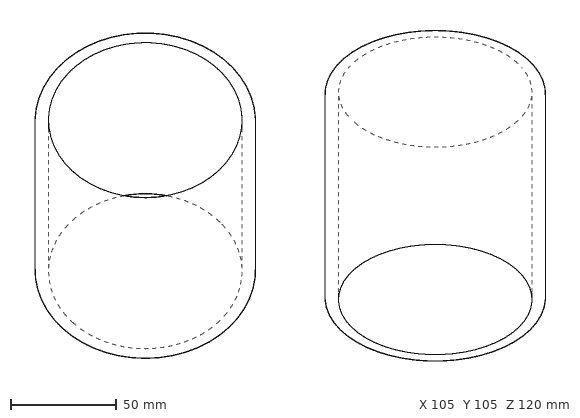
import cadquery as cq

height = 120.0
outer_diameter = 105.0
bore_diameter = 92.0
rim_fillet = 1.5

sleeve = cq.Workplane("XY").circle(outer_diameter / 2).extrude(height)
sleeve = sleeve.faces("<Z or >Z").edges().fillet(rim_fillet)

bore = cq.Workplane("XY").circle(bore_diameter / 2).extrude(height)

result = sleeve.cut(bore)